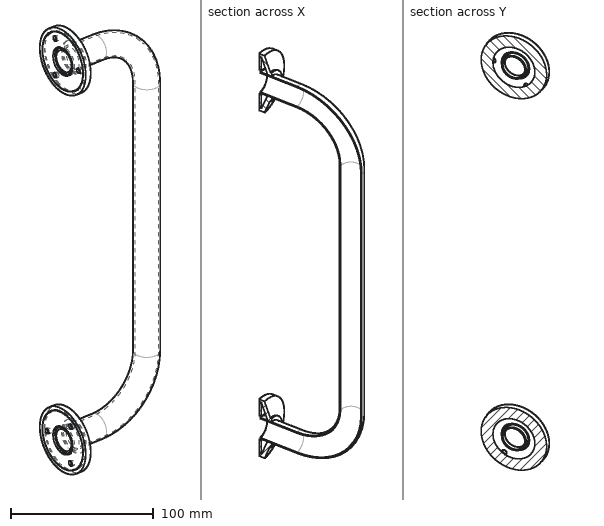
import cadquery as cq
import math

overall_height = 355.5
overall_depth = 86.0
wall_face_y = -overall_depth / 2

tube_diameter = 19.2
bore_diameter = 16.5
bend_radius = 44.8
tube_recess = 1.0

cover_diameter = 50.5
collar_diameter = 25.2
cavity_diameter = 44.8
rim_height = 4.5
cone_height = 5.0
collar_height = 1.0
cover_height = rim_height + cone_height + collar_height

plate_diameter = 44.0
plate_thickness = 1.8
plate_bore_diameter = 21.5
screw_hole_diameter = 4.0
screw_circle_radius = 17.0
screw_count = 3

tube_end_y = wall_face_y + tube_recess
leg_z = (overall_height - cover_diameter) / 2
grip_y = overall_depth / 2 - tube_diameter / 2
bend_start_y = grip_y - bend_radius
bend_end_z = leg_z - bend_radius
bend_middle_offset = bend_radius * math.sin(math.radians(45))


def make_tube():
    """Hollow tube: two legs, two quarter bends and a straight grip."""
    centreline = (
        cq.Workplane("YZ")
        .moveTo(tube_end_y, -leg_z)
        .lineTo(bend_start_y, -leg_z)
        .threePointArc(
            (bend_start_y + bend_middle_offset, -bend_end_z - bend_middle_offset),
            (grip_y, -bend_end_z),
        )
        .lineTo(grip_y, bend_end_z)
        .threePointArc(
            (bend_start_y + bend_middle_offset, bend_end_z + bend_middle_offset),
            (bend_start_y, leg_z),
        )
        .lineTo(tube_end_y, leg_z)
    )
    section = (
        cq.Workplane("XZ", origin=(0, tube_end_y, -leg_z))
        .circle(tube_diameter / 2)
        .circle(bore_diameter / 2)
    )
    return section.sweep(centreline)


def make_cover(z):
    """Hollow conical cover around one leg, open towards the wall."""
    rim_radius = cover_diameter / 2
    collar_radius = collar_diameter / 2
    cavity_radius = cavity_diameter / 2
    tube_radius = tube_diameter / 2
    profile = (
        cq.Workplane("XY")
        .moveTo(cavity_radius, 0)
        .lineTo(rim_radius, 0)
        .lineTo(rim_radius, rim_height)
        .lineTo(collar_radius, rim_height + cone_height)
        .lineTo(collar_radius, cover_height)
        .lineTo(tube_radius, cover_height)
        .lineTo(tube_radius, plate_thickness + cone_height)
        .lineTo(cavity_radius, plate_thickness)
        .close()
    )
    cover = profile.revolve(360, (0, 0, 0), (0, 1, 0))
    return cover.translate((0, wall_face_y, z))


def make_plate(z, first_hole_angle):
    """Flat ring inside a cover, flush with its rim, with screw holes."""
    plate = (
        cq.Workplane("XZ")
        .circle(plate_diameter / 2)
        .circle(plate_bore_diameter / 2)
        .extrude(-plate_thickness)
    )
    screw_holes = (
        cq.Workplane("XZ")
        .polarArray(screw_circle_radius, first_hole_angle, 360, screw_count)
        .circle(screw_hole_diameter / 2)
        .extrude(-plate_thickness)
    )
    return plate.cut(screw_holes).translate((0, wall_face_y, z))


tube = make_tube()
covers = []
plates = []
for end_z, hole_angle in ((leg_z, 0), (-leg_z, 180)):
    covers.append(make_cover(end_z).val())
    plates.append(make_plate(end_z, hole_angle).val())

result = cq.Compound.makeCompound([tube.val(), *covers, *plates])